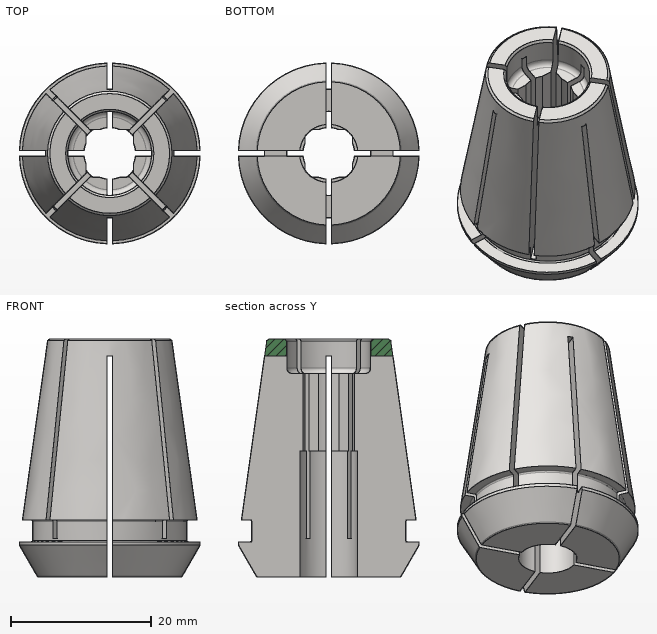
import cadquery as cq
import math

length = 34.0

flange_diameter = 25.8
flange_radius = flange_diameter / 2
flange_cone_angle = 30.0
rim_bottom_z = 4.55
rim_top_z = 5.03
bottom_chamfer = 0.15

neck_radius = 11.0
groove_top_z = 8.13
neck_fillet = 0.2

taper_angle = 8.0
top_radius = 8.87
top_chamfer_width = 0.35
top_chamfer_height = 0.27

shank_radius = 4.15
shank_depth = 18.02
square_side = 6.75
relief_radius = 3.67
clearance_radius = 6.0
clearance_floor_z = 29.05
clearance_fillet = 0.78
clearance_chamfer = 0.3

slot_width = 0.78
axis_slot_top_z = 31.52
diagonal_slot_floor_z = 5.5


def make_body():
    """Outer profile revolved about the collet axis."""
    taper_top_z = length - top_chamfer_height
    taper_height = taper_top_z - groove_top_z
    taper_bottom_radius = top_radius + taper_height * math.tan(math.radians(taper_angle))
    cone_slope = math.tan(math.radians(flange_cone_angle))
    cone_height = rim_bottom_z - bottom_chamfer
    cone_bottom_radius = flange_radius - cone_height * cone_slope
    profile = (
        cq.Workplane("XZ")
        .moveTo(0, 0)
        .lineTo(cone_bottom_radius - bottom_chamfer, 0)
        .lineTo(cone_bottom_radius, bottom_chamfer)
        .lineTo(flange_radius, rim_bottom_z)
        .lineTo(flange_radius, rim_top_z)
        .lineTo(neck_radius + neck_fillet, rim_top_z)
        .radiusArc((neck_radius, rim_top_z + neck_fillet), neck_fillet)
        .lineTo(neck_radius, groove_top_z - neck_fillet)
        .radiusArc((neck_radius + neck_fillet, groove_top_z), neck_fillet)
        .lineTo(taper_bottom_radius, groove_top_z)
        .lineTo(top_radius, taper_top_z)
        .lineTo(top_radius - top_chamfer_width, length)
        .lineTo(0, length)
        .close()
    )
    return profile.revolve(360, (0, 0, 0), (0, 1, 0))


def make_bore():
    """Everything removed along the axis, as one solid."""
    shank = cq.Workplane("XY").circle(shank_radius).extrude(shank_depth)
    drive_height = clearance_floor_z - shank_depth
    drive_plane = cq.Workplane("XY").workplane(offset=shank_depth)
    square = drive_plane.rect(square_side, square_side).extrude(drive_height)
    relief = drive_plane.circle(relief_radius).extrude(drive_height)
    clearance = (
        cq.Workplane("XY")
        .workplane(offset=clearance_floor_z)
        .circle(clearance_radius)
        .extrude(length - clearance_floor_z)
        .faces("<Z")
        .edges()
        .fillet(clearance_fillet)
    )
    mouth = cq.Workplane("XY").add(
        cq.Solid.makeCone(
            clearance_radius,
            clearance_radius + clearance_chamfer,
            clearance_chamfer,
            pnt=cq.Vector(0, 0, length - clearance_chamfer),
        )
    )
    return shank.union(square).union(relief).union(clearance).union(mouth)


def make_slot_pair(bottom_z, top_z, first_angle):
    """Two crossing full-width slots between two heights."""
    slot_length = 2 * flange_radius + slot_width
    slots = cq.Workplane("XY")
    for angle in (first_angle, first_angle + 90):
        slot = (
            cq.Workplane("XY")
            .workplane(offset=bottom_z)
            .rect(slot_length, slot_width)
            .extrude(top_z - bottom_z)
            .rotate((0, 0, 0), (0, 0, 1), angle)
        )
        slots = slots.add(slot)
    return slots.combine()


axis_slots = make_slot_pair(0, axis_slot_top_z, 0)
diagonal_slots = make_slot_pair(diagonal_slot_floor_z, length, 45)

result = make_body().cut(make_bore()).cut(axis_slots).cut(diagonal_slots)